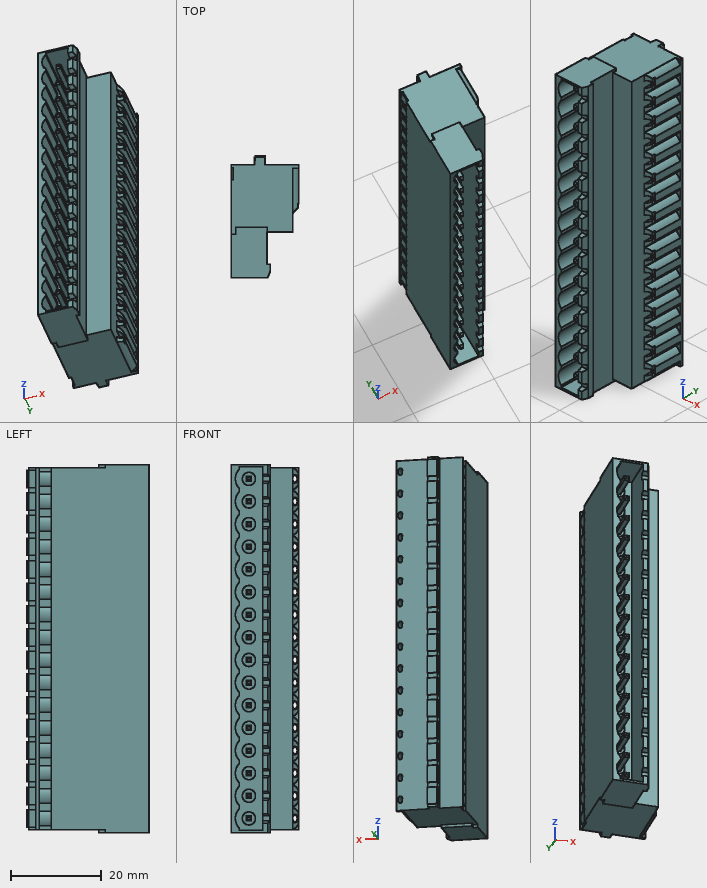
import cadquery as cq
import math

POLE_COUNT = 16
PITCH = 5.0
ROW_LENGTH = POLE_COUNT * PITCH
POLE_HEIGHTS = [(i - (POLE_COUNT - 1) / 2) * PITCH for i in range(POLE_COUNT)]

BODY_WIDTH = 13.63
BODY_FRONT = 10.1
BODY_BACK = 25.0

SHROUD_WIDTH = 7.95
SHROUD_LENGTH = 81.32
SHROUD_BACK = 11.13
SHROUD_STEP_X = 1.05
SHROUD_STEP_Y = 9.65
LIP_TIP_X = 8.7
LIP_BASE_X = 8.1
LIP_RAMP_Y = 1.45
LIP_BACK = 3.0

CAVITY_LEFT = 1.8
CAVITY_RIGHT = 7.0
CAVITY_LENGTH = 80.3
CAVITY_DEPTH = 8.5
SCALLOP_RADIUS = 3.0
PIN_X = 3.95
PIN_SIZE = 1.1
PIN_TIP_SIZE = 0.5
PIN_TIP_LENGTH = 0.5
PIN_FRONT = 2.0
PIN_WELL_DIAMETER = 2.9
PIN_WELL_DEPTH = 0.5

NOTCH_MOUTH = 2.05
NOTCH_FLOOR = 1.1
NOTCH_DEPTH = 1.2

GRIP_FRONT = 21.65
GRIP_BACK = 24.25
GRIP_DEPTH = 0.5
BUMP_CHORD = 3.2

STRIP_LEFT = 5.4
STRIP_RIGHT = 7.5
STRIP_TOP = 26.6
TOOTH_LEFT = 5.15
TOOTH_TOP = 26.99
TOOTH_LENGTH = 3.85

FLANGE_X = 15.0
PLATE_FRONT = 24.2
TUBE_FRONT = 14.2
TUBE_SHOULDER_X = 14.8
TUBE_SHOULDER_Y = 15.5
TUBE_FACE_Y = 16.3
TUBE_AXIS_X = 12.5
TUBE_RADIUS = 2.7
HOLE_X = 14.1
HOLE_WIDTH = 1.0
HOLE_HEIGHT = 1.6
RECESS_X = 13.9
RECESS_DIAMETER = 1.9


def block(x0, x1, y0, y1, length, z=0.0):
    """Box between X and Y limits, centred on height z."""
    box = cq.Workplane("XY").box(x1 - x0, y1 - y0, length)
    return box.translate(((x0 + x1) / 2, (y0 + y1) / 2, z))


def extrude_z(points, length, z=0.0):
    """XY outline extruded along Z, centred on height z."""
    return cq.Workplane("XY").polyline(points).close().extrude(length / 2, both=True).translate((0, 0, z))


def rod(x, z, radius, y0, y1):
    """Cylinder along Y."""
    return cq.Workplane("XZ", origin=(x, y0, z)).circle(radius).extrude(y0 - y1)


def arc_radius(chord, height):
    """Radius of an arc with the given chord and rise."""
    return (chord**2 / 4 + height**2) / (2 * height)


def at_each_pole(make_piece):
    """Separate copies of a piece, one at each pole height."""
    pieces = [make_piece(z).val() for z in POLE_HEIGHTS]
    return cq.Workplane(obj=cq.Compound.makeCompound(pieces))


def make_bump(z):
    """Convex grip bump that rises from the groove floor to the body face."""
    radius = arc_radius(BUMP_CHORD, GRIP_DEPTH)
    bump = rod(radius, z, radius, GRIP_FRONT, GRIP_BACK)
    return bump.intersect(block(0, GRIP_DEPTH, GRIP_FRONT, GRIP_BACK, PITCH, z))


def make_body():
    outline = [
        (0, SHROUD_STEP_Y),
        (SHROUD_STEP_X, SHROUD_STEP_Y),
        (SHROUD_STEP_X, BODY_FRONT),
        (BODY_WIDTH, BODY_FRONT),
        (BODY_WIDTH, BODY_BACK),
        (0, BODY_BACK),
    ]
    body = extrude_z(outline, ROW_LENGTH)
    body = body.cut(block(0, GRIP_DEPTH, GRIP_FRONT, GRIP_BACK, ROW_LENGTH))
    return body.union(at_each_pole(make_bump))


def make_scallop(z):
    """Round relief in the cavity wall, concentric with the pin."""
    scallop = rod(PIN_X, z, SCALLOP_RADIUS, 0, CAVITY_DEPTH)
    return scallop.intersect(block(0, CAVITY_LEFT, 0, CAVITY_DEPTH, PITCH, z))


def make_pin_well(z):
    return rod(PIN_X, z, PIN_WELL_DIAMETER / 2, CAVITY_DEPTH, CAVITY_DEPTH + PIN_WELL_DEPTH)


def make_cavity():
    cavity = block(CAVITY_LEFT, CAVITY_RIGHT, 0, CAVITY_DEPTH, CAVITY_LENGTH)
    return cavity.union(at_each_pole(make_scallop))


def make_notch(z):
    """Tapered notch through the lip wall, narrowing away from the front."""
    points = [
        (0, z - NOTCH_MOUTH / 2),
        (0, z + NOTCH_MOUTH / 2),
        (NOTCH_DEPTH, z + NOTCH_FLOOR / 2),
        (NOTCH_DEPTH, z - NOTCH_FLOOR / 2),
    ]
    notch = cq.Workplane("YZ", origin=(CAVITY_RIGHT, 0, 0)).polyline(points).close()
    return notch.extrude(LIP_TIP_X - CAVITY_RIGHT)


def make_shroud():
    outline = [
        (0, 0),
        (LIP_BASE_X, 0),
        (LIP_TIP_X, LIP_RAMP_Y),
        (LIP_TIP_X, LIP_BACK),
        (SHROUD_WIDTH, LIP_BACK),
        (SHROUD_WIDTH, SHROUD_BACK),
        (SHROUD_STEP_X, SHROUD_BACK),
        (SHROUD_STEP_X, SHROUD_STEP_Y),
        (0, SHROUD_STEP_Y),
    ]
    return extrude_z(outline, SHROUD_LENGTH)


def make_pin(z):
    """Square pin with a tapered tip, pointing toward -Y."""
    shank_front = PIN_FRONT + PIN_TIP_LENGTH
    half = PIN_SIZE / 2
    shank = block(PIN_X - half, PIN_X + half, shank_front, BODY_FRONT, PIN_SIZE, z)
    taper = math.degrees(math.atan((PIN_SIZE - PIN_TIP_SIZE) / 2 / PIN_TIP_LENGTH))
    tip = cq.Workplane("XZ", origin=(PIN_X, shank_front, z)).rect(PIN_SIZE, PIN_SIZE)
    return shank.union(tip.extrude(PIN_TIP_LENGTH, taper=taper))


def make_tooth(z):
    outline = [
        (TOOTH_LEFT, BODY_BACK),
        (STRIP_RIGHT, BODY_BACK),
        (STRIP_RIGHT, TOOTH_TOP),
        (STRIP_LEFT, TOOTH_TOP),
        (STRIP_LEFT, STRIP_TOP),
        (TOOTH_LEFT, STRIP_TOP),
    ]
    return extrude_z(outline, TOOTH_LENGTH, z)


def make_latch_strip():
    """Strip with a sloped left side, carrying one upright tooth per pole."""
    outline = [
        (TOOTH_LEFT, BODY_BACK),
        (STRIP_RIGHT, BODY_BACK),
        (STRIP_RIGHT, STRIP_TOP),
        (STRIP_LEFT, STRIP_TOP),
    ]
    return extrude_z(outline, ROW_LENGTH).union(at_each_pole(make_tooth))


def make_tube(z):
    """Half-round tube with a sloped front."""
    outline = [
        (BODY_WIDTH, TUBE_FRONT),
        (TUBE_SHOULDER_X, TUBE_SHOULDER_Y),
        (TUBE_SHOULDER_X, TUBE_FACE_Y),
        (FLANGE_X, TUBE_FACE_Y),
        (FLANGE_X, PLATE_FRONT),
        (BODY_WIDTH, PLATE_FRONT),
    ]
    envelope = rod(TUBE_AXIS_X, z, TUBE_RADIUS, TUBE_FRONT, PLATE_FRONT)
    return extrude_z(outline, PITCH, z).intersect(envelope)


def make_tube_hole(z):
    """Oval hole through the tube and the back plate, with a round recess at its front."""
    oval = cq.Workplane("XZ", origin=(HOLE_X, TUBE_FRONT, z)).ellipse(HOLE_WIDTH / 2, HOLE_HEIGHT / 2)
    hole = oval.extrude(TUBE_FRONT - BODY_BACK)
    return hole.union(rod(RECESS_X, z, RECESS_DIAMETER / 2, TUBE_FRONT, TUBE_FACE_Y))


def make_flange():
    plate = block(BODY_WIDTH, FLANGE_X, PLATE_FRONT, BODY_BACK, ROW_LENGTH)
    return plate.union(at_each_pole(make_tube)).cut(at_each_pole(make_tube_hole))


result = make_body().union(make_shroud()).cut(make_cavity())
result = result.cut(at_each_pole(make_notch)).cut(at_each_pole(make_pin_well))
result = result.union(at_each_pole(make_pin)).union(make_latch_strip()).union(make_flange())